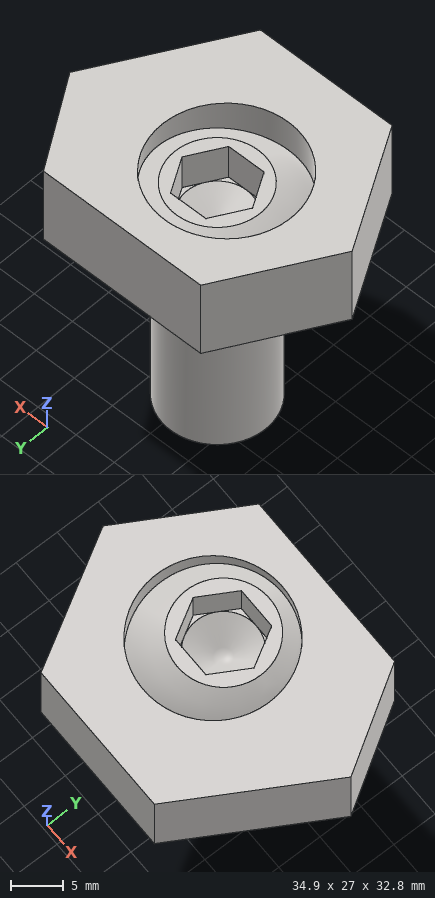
import cadquery as cq
import math


plate_height = 10.0
plate_back_y = 10.75
plate_front_y = -16.27
plate_corners = [
    (-15.55, -2.25),
    (-8.05, plate_back_y),
    (12.6, plate_back_y),
    (19.3, 0.07),
    (9.83, plate_front_y),
    (-7.45, plate_front_y),
]

shank_diameter = 12.75
overall_height = 32.75
shank_length = overall_height - plate_height
tip_chamfer = 1.2
head_diameter = 16.95
head_eccentricity = 1.3
head_drop = 0.6
head_top = plate_height - head_drop
crown_flat_diameter = 11.22
crown_radius = 12.2

socket_across_flats = 8
socket_depth = 4.5
socket_point_angle = 120


def make_eccentric_cylinder():
    """Full-height cylinder offset from the shank axis: the plate's bore and the head that fills it."""
    return cq.Workplane("XY").center(0, -head_eccentricity).circle(head_diameter / 2).extrude(plate_height)


def make_plate():
    """Six-sided plate with a through bore that the eccentric head fills."""
    plate = cq.Workplane("XY").polyline(plate_corners).close().extrude(plate_height)
    return plate.cut(make_eccentric_cylinder())


def make_crown_envelope():
    """Flat-topped sphere about the shank axis that trims the top of the head to a dome."""
    flat_radius = crown_flat_diameter / 2
    sphere_center_z = head_top - math.sqrt(crown_radius**2 - flat_radius**2)
    sphere = cq.Workplane("XY", origin=(0, 0, sphere_center_z)).sphere(crown_radius)
    below_flat = cq.Workplane("XY").circle(crown_radius).extrude(head_top)
    return sphere.intersect(below_flat)


def make_socket():
    """Hexagonal recess from the head's flat top, ending in a cone."""
    floor = head_top - socket_depth
    across_corners = socket_across_flats / math.cos(math.pi / 6)
    point_radius = socket_across_flats / 2
    point_depth = point_radius / math.tan(math.radians(socket_point_angle / 2))
    hexagon = cq.Workplane("XY", origin=(0, 0, floor)).polygon(6, across_corners).extrude(socket_depth)
    point = (
        cq.Workplane("XZ", origin=(0, 0, floor))
        .lineTo(point_radius, 0)
        .lineTo(0, -point_depth)
        .close()
        .revolve(360, (0, 0, 0), (0, 1, 0))
    )
    return hexagon.union(point)


def make_screw():
    """Cam screw: chamfered shank, eccentric domed head and drive socket."""
    shank = (
        cq.Workplane("XY")
        .circle(shank_diameter / 2)
        .extrude(-shank_length)
        .faces("<Z")
        .chamfer(tip_chamfer)
    )
    head = make_eccentric_cylinder().intersect(make_crown_envelope())
    return shank.union(head).cut(make_socket())


plate = make_plate()
screw = make_screw()
result = cq.Compound.makeCompound([plate.val(), screw.val()])